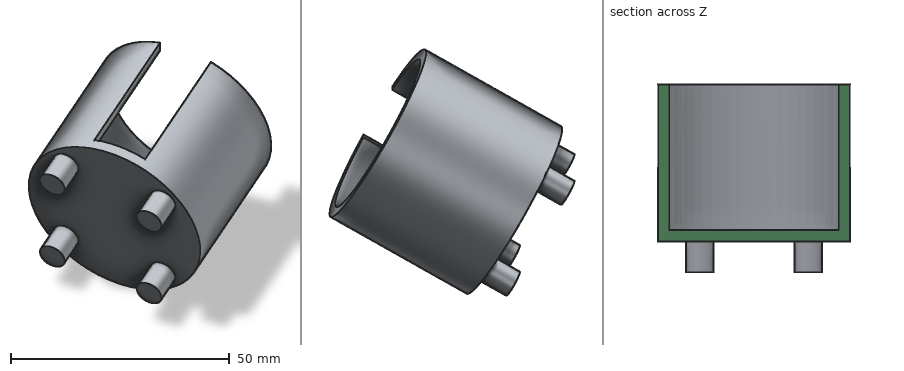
import cadquery as cq

outer_diameter = 44.0
wall_thickness = 2.65
floor_thickness = 2.7
body_length = 36.0

slot_width = 13.0

pin_diameter = 6.35
pin_length = 7.0
pin_spacing = 24.8

outer_radius = outer_diameter / 2
inner_radius = outer_radius - wall_thickness
cavity_length = body_length - floor_thickness


def rod_along_y(radius, length, start_y, x=0.0, z=0.0):
    """Solid cylinder running toward +Y from start_y."""
    return cq.Workplane(cq.Solid.makeCylinder(radius, length, cq.Vector(x, start_y, z), cq.Vector(0, 1, 0)))


def make_cup():
    """Round body with its front face at Y = 0 and the bore open at the back."""
    body = rod_along_y(outer_radius, body_length, 0)
    bore = rod_along_y(inner_radius, cavity_length, floor_thickness)
    return body.cut(bore)


def make_slot():
    """Box that opens the top of the wall above the cup's axis."""
    return cq.Workplane("XY").box(
        slot_width, cavity_length, outer_radius, centered=(True, False, False)
    ).translate((0, floor_thickness, 0))


def add_pins(body):
    """Join the four front pins to the floor."""
    offset = pin_spacing / 2
    for x in (-offset, offset):
        for z in (-offset, offset):
            body = body.union(rod_along_y(pin_diameter / 2, pin_length, -pin_length, x, z))
    return body


result = add_pins(make_cup().cut(make_slot()))